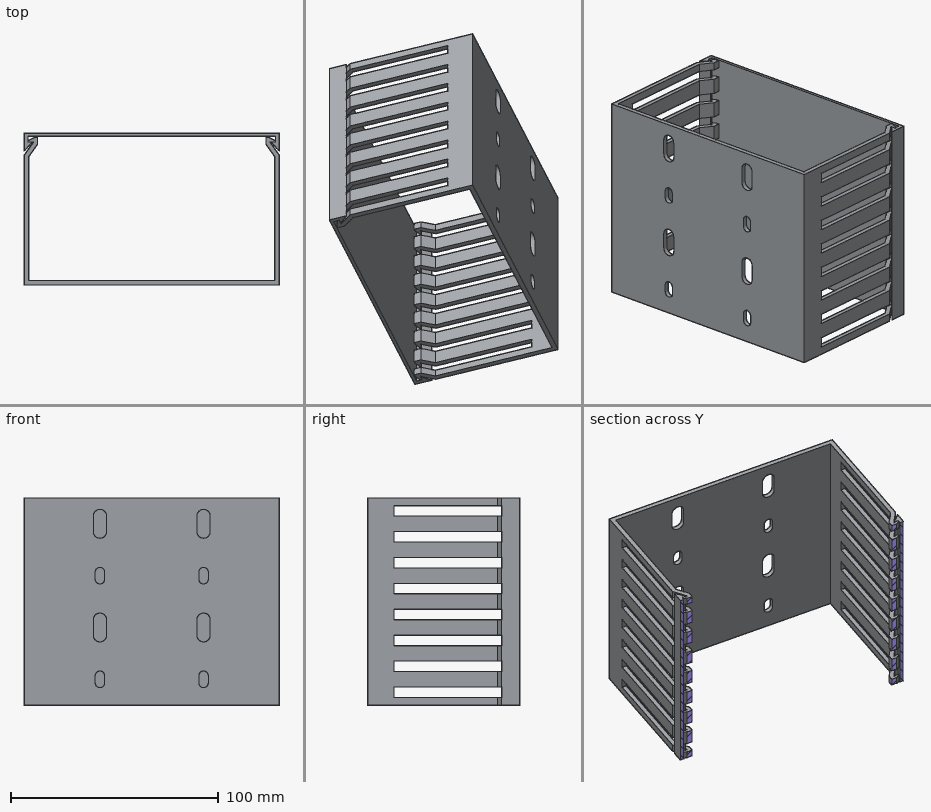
import cadquery as cq

width = 123.0
depth = 73.3
height = 100.0

wall = 2.3
cover_wall = 2.0
cover_panel = 1.6
half_width = width / 2
front_y = -depth / 2
back_y = depth / 2
top_z = height / 2

bend_outer_drop = 10.7
bend_inner_drop = 11.3
hook_inner_inset = 6.5
hook_inner_drop = 5.4
neck_inset = 4.4
barb_inset = cover_wall
barb_bottom_drop = 4.4
barb_tip_drop = 3.6
barb_top_inset = 5.4
hook_top_drop = 2.0

lip_length = 8.7
catch_inset = 3.7
catch_bottom_drop = 4.8
catch_top_drop = barb_bottom_drop

mount_pitch = 25.0

finger_slot_count = 8
finger_slot_pitch = mount_pitch / 2
finger_slot_height = 4.9
finger_slot_start = 12.8

large_slot_width = 6.4
large_slot_length = 13.9
small_slot_width = 4.5
small_slot_length = 8.0
inner_row_offset = mount_pitch / 2
outer_row_offset = inner_row_offset + mount_pitch
large_slot_rows = (outer_row_offset, -inner_row_offset)
small_slot_rows = (inner_row_offset, -outer_row_offset)
upright_angle = 90


def mirrored_outline(left_points):
    """Close an outline from its left half, listed in order from one end to the other."""
    right_points = [(-x, y) for x, y in reversed(left_points)]
    return left_points + right_points


def extrude_profile(left_points):
    """Extrude a profile, symmetric about X = 0, over the full height."""
    outline = mirrored_outline(left_points)
    return cq.Workplane("XY").workplane(offset=-top_z).polyline(outline).close().extrude(height)


def left_point(inset, drop):
    """Point at a distance in from the left side and forward from the back of the cover."""
    return (-half_width + inset, back_y - drop)


def finger_slot_cutter():
    """Full-width bars that cut the open-ended slots into both side walls and their hooks."""
    slot_length = back_y - front_y - finger_slot_start
    first_z = -finger_slot_pitch * (finger_slot_count - 1) / 2
    centres = [(0, first_z + i * finger_slot_pitch) for i in range(finger_slot_count)]
    return (
        cq.Workplane("XZ", origin=(0, back_y, 0))
        .pushPoints(centres)
        .rect(width, finger_slot_height)
        .extrude(slot_length)
    )


def mounting_slot_cutter(slot_width, slot_length, row_heights):
    """Upright obround slots in two columns, through the front wall."""
    centres = [(x, z) for x in (-mount_pitch, mount_pitch) for z in row_heights]
    return (
        cq.Workplane("XZ", origin=(0, front_y + wall, 0))
        .pushPoints(centres)
        .slot2D(slot_length, slot_width, upright_angle)
        .extrude(wall)
    )


def make_base():
    """Front wall and two slotted side walls ending in inward-bent snap hooks."""
    body = extrude_profile([
        (-half_width, front_y),
        left_point(0, bend_outer_drop),
        left_point(neck_inset, barb_bottom_drop),
        left_point(barb_inset, barb_bottom_drop),
        left_point(barb_inset, barb_tip_drop),
        left_point(barb_top_inset, hook_top_drop),
        left_point(hook_inner_inset, hook_top_drop),
        left_point(hook_inner_inset, hook_inner_drop),
        left_point(wall, bend_inner_drop),
        (-half_width + wall, front_y + wall),
    ])
    body = body.cut(finger_slot_cutter())
    body = body.cut(mounting_slot_cutter(large_slot_width, large_slot_length, large_slot_rows))
    return body.cut(mounting_slot_cutter(small_slot_width, small_slot_length, small_slot_rows))


def make_cover():
    """Flat back panel with a chamfered catch lip along each side."""
    return extrude_profile([
        left_point(0, 0),
        left_point(0, lip_length),
        left_point(catch_inset, catch_bottom_drop),
        left_point(catch_inset, catch_top_drop),
        left_point(cover_wall, catch_top_drop),
        left_point(cover_wall, cover_panel),
    ])


base = make_base()
cover = make_cover()

result = cq.Compound.makeCompound([base.val(), cover.val()])